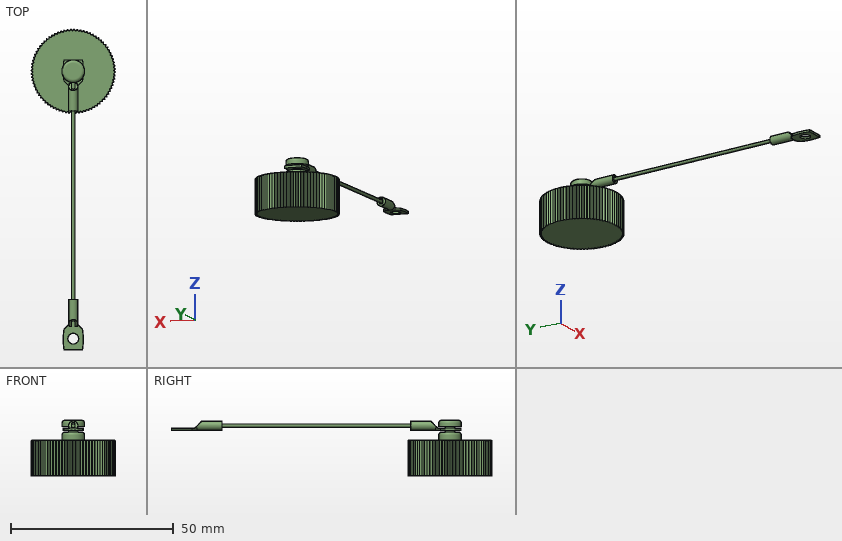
import cadquery as cq
import math

cap_diameter = 25.95
cap_height = 11.1
cap_chamfer = 0.3
tooth_count = 80
tooth_depth = 0.5

total_height = 17.2
stud_diameter = 7.0
neck_diameter = 3.0
shoulder_top = 13.5
head_bottom = 15.2
stud_fillet = 1.0

lug_bottom = 14.0
lug_thickness = 0.7
lug_end = 3.5
lug_end_half_width = 2.9
lug_middle_half_width = 3.2
lug_shoulder = 3.0
eye_diameter = 3.3
barrel_diameter = 2.9
barrel_end = 12.1
barrel_cut_start = 3.75
bore_width = 1.0
bore_height = 1.8

wire_diameter = 1.1
wire_start = 6.9
overall_length = 98.7
lanyard_end = cap_diameter / 2 - overall_length
far_eye = lanyard_end + lug_end

barrel_radius = barrel_diameter / 2
barrel_axis = lug_bottom + barrel_radius


def make_cap():
    """Cap with straight V-shaped teeth around it and a chamfered top rim."""
    tip_radius = cap_diameter / 2
    half_pitch = math.pi / tooth_count
    first_tip_angle = -half_pitch / 2
    points = []
    for i in range(2 * tooth_count):
        radius = tip_radius - tooth_depth * (i % 2)
        angle = first_tip_angle + i * half_pitch
        points.append((radius * math.cos(angle), radius * math.sin(angle)))
    teeth = cq.Workplane("XY").polyline(points).close().extrude(cap_height)
    envelope = cq.Workplane("XY").circle(tip_radius).extrude(cap_height)
    return teeth.intersect(envelope.faces(">Z").chamfer(cap_chamfer))


def make_disc(diameter, bottom, top):
    """Disc on the Z axis between two heights."""
    return cq.Workplane("XY").workplane(offset=bottom).circle(diameter / 2).extrude(top - bottom)


def make_stud():
    """Rounded shoulder and rounded head joined by a thin neck."""
    shoulder = make_disc(stud_diameter, cap_height, shoulder_top)
    head = make_disc(stud_diameter, head_bottom, total_height)
    neck = make_disc(neck_diameter, shoulder_top, head_bottom)
    shoulder = shoulder.faces(">Z").edges().fillet(stud_fillet)
    head = head.faces(">Z").edges().fillet(stud_fillet)
    return shoulder.union(neck).union(head)


def make_lug(hole_diameter):
    """Lug with its eye at the origin and its barrel pointing toward -Y."""
    neck_start = lug_shoulder + lug_end_half_width - barrel_radius
    plate = (
        cq.Workplane("XY")
        .workplane(offset=lug_bottom)
        .moveTo(lug_end_half_width, lug_end)
        .threePointArc((lug_middle_half_width, 0), (lug_end_half_width, -lug_shoulder))
        .lineTo(barrel_radius, -neck_start)
        .lineTo(-barrel_radius, -neck_start)
        .lineTo(-lug_end_half_width, -lug_shoulder)
        .threePointArc((-lug_middle_half_width, 0), (-lug_end_half_width, lug_end))
        .close()
        .extrude(lug_thickness)
        .cut(make_disc(hole_diameter, lug_bottom, lug_bottom + lug_thickness))
    )
    barrel = (
        cq.Workplane("XZ", origin=(0, 0, barrel_axis))
        .circle(barrel_radius)
        .extrude(barrel_end)
    )
    plate_top = lug_bottom + lug_thickness
    bore_radius = bore_width / 2
    bore_side_top = bore_height - bore_radius
    bore = (
        cq.Workplane("XZ", origin=(0, 0, plate_top))
        .moveTo(-bore_radius, 0)
        .lineTo(-bore_radius, bore_side_top)
        .threePointArc((0, bore_height), (bore_radius, bore_side_top))
        .lineTo(bore_radius, 0)
        .close()
        .extrude(barrel_end)
    )
    cut_rise = barrel_diameter - lug_thickness
    profile = (
        cq.Workplane("YZ")
        .polyline(
            [
                (-barrel_cut_start, lug_bottom),
                (-barrel_cut_start, plate_top),
                (-barrel_cut_start - cut_rise, plate_top + cut_rise),
                (-barrel_end, plate_top + cut_rise),
                (-barrel_end, lug_bottom),
            ]
        )
        .close()
        .extrude(barrel_radius, both=True)
    )
    return plate.union(barrel.cut(bore).intersect(profile))


def make_wire(near_end, far_end):
    """Round wire along Y through the barrel axis."""
    return (
        cq.Workplane("XZ", origin=(0, near_end, barrel_axis))
        .circle(wire_diameter / 2)
        .extrude(near_end - far_end)
    )


near_lug = make_lug(neck_diameter)
far_lug = make_lug(eye_diameter).rotate((0, 0, 0), (0, 0, 1), 180).translate((0, far_eye, 0))
wire = make_wire(-wire_start, far_eye + wire_start)

result = make_cap().union(make_stud()).union(near_lug).union(wire).union(far_lug)